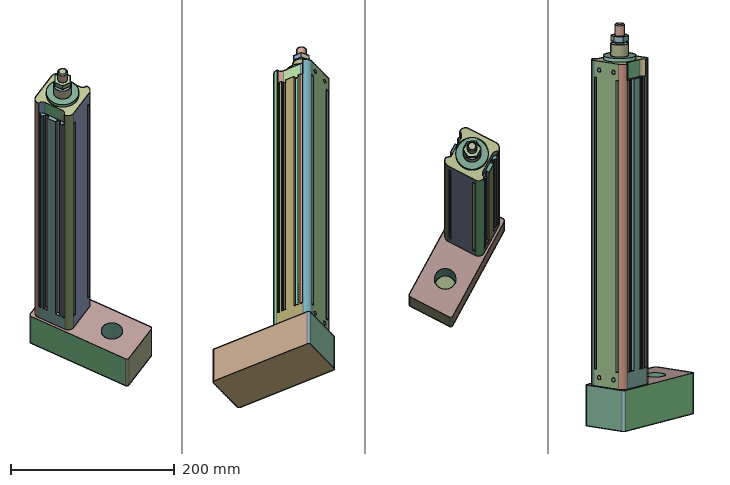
import cadquery as cq


housing_length = 140.0
housing_width = 60.0
housing_height = 51.0
housing_corner_radius = 3.0
axis_to_housing_end = 30.0
bore_diameter = 26.0
bore_spacing = 70.0
bore_depth = 40.0

body_size = 53.5
body_height = 406.0
body_flat_width = 38.0
body_corner_radius = (body_size - body_flat_width) / 2
body_top = housing_height + body_height
half_body = body_size / 2
end_block_height = 21.0
groove_length = body_height - 2 * end_block_height

recess_floor_width = 24.0
recess_depth = 5.0
recess_width = 36.0
recess_wall_depth = 1.0

sensor_groove_inner = 6.0
sensor_groove_floor_end = 10.5
sensor_groove_outer = 12.0
sensor_groove_depth = 3.5
sensor_shelf_depth = 1.8

edge_groove_inner = 14.8
edge_groove_outer = 18.0
edge_groove_depth = 2.5

mount_hole_diameter = 5.0
mount_hole_depth = 8.0
mount_hole_spacing = 22.0
mount_hole_end_distance = 11.0

flange_diameter = 40.0
flange_height = 4.5
rod_diameter = 22.0
rod_height = 15.0
neck_diameter = 10.5
neck_height = 3.0
nut_across_flats = 19.0
nut_height = 7.0
thread_diameter = 12.0
thread_chamfer = 1.5
total_height = 501.0

SIDES = (-1, 1)


def make_housing():
    center_x = housing_length / 2 - axis_to_housing_end
    housing = (
        cq.Workplane("XY")
        .center(center_x, 0)
        .rect(housing_length, housing_width)
        .extrude(housing_height)
        .edges("|Z")
        .fillet(housing_corner_radius)
    )
    bore = (
        cq.Workplane("XY", origin=(bore_spacing, 0, housing_height - bore_depth))
        .circle(bore_diameter / 2)
        .extrude(bore_depth)
    )
    return housing.cut(bore)


def make_body():
    return (
        cq.Workplane("XY", origin=(0, 0, housing_height))
        .rect(body_size, body_size)
        .extrude(body_height)
        .edges("|Z")
        .fillet(body_corner_radius)
    )


def make_recess():
    """Recess cutter for the -Y face: flat floor, concave flanks and short upright walls."""
    half_floor = recess_floor_width / 2
    half_mouth = recess_width / 2
    floor_y = recess_depth - half_body
    wall_y = recess_wall_depth - half_body
    half = (
        cq.Workplane("XY", origin=(0, 0, body_top - end_block_height))
        .moveTo(0, floor_y)
        .lineTo(half_floor, floor_y)
        .tangentArcPoint((half_mouth, wall_y), relative=False)
        .lineTo(half_mouth, -half_body)
        .lineTo(0, -half_body)
        .close()
        .extrude(end_block_height)
    )
    return half.union(half.mirror("YZ"))


def make_groove(points):
    """Groove cutter for the -Y face; each point is (distance from middle, depth)."""
    outline = [(offset, depth - half_body) for offset, depth in points]
    return (
        cq.Workplane("XY", origin=(0, 0, housing_height + end_block_height))
        .polyline(outline)
        .close()
        .extrude(groove_length)
    )


def make_sensor_groove():
    return make_groove(
        [
            (sensor_groove_inner, 0),
            (sensor_groove_inner, sensor_groove_depth),
            (sensor_groove_floor_end, sensor_groove_depth),
            (sensor_groove_floor_end, sensor_shelf_depth),
            (sensor_groove_outer, sensor_shelf_depth),
            (sensor_groove_outer, 0),
        ]
    )


def make_edge_groove():
    return make_groove(
        [
            (edge_groove_inner, 0),
            (edge_groove_outer, edge_groove_depth),
            (edge_groove_outer, 0),
        ]
    )


def make_mount_holes():
    holes_z = (housing_height + mount_hole_end_distance, body_top - mount_hole_end_distance)
    positions = [(side * mount_hole_spacing / 2, z) for side in SIDES for z in holes_z]
    return (
        cq.Workplane("YZ", origin=(-half_body, 0, 0))
        .pushPoints(positions)
        .circle(mount_hole_diameter / 2)
        .extrude(mount_hole_depth)
    )


def make_cylinder(diameter, bottom, height):
    return cq.Workplane("XY", origin=(0, 0, bottom)).circle(diameter / 2).extrude(height)


def make_rod_end():
    rod_bottom = body_top + flange_height
    neck_bottom = rod_bottom + rod_height
    nut_bottom = neck_bottom + neck_height
    nut_top = nut_bottom + nut_height
    nut_across_corners = nut_across_flats * 2 / 3**0.5
    flange = make_cylinder(flange_diameter, body_top, flange_height)
    rod = make_cylinder(rod_diameter, rod_bottom, rod_height)
    neck = make_cylinder(neck_diameter, neck_bottom, neck_height)
    nut = (
        cq.Workplane("XY", origin=(0, 0, nut_bottom))
        .polygon(6, nut_across_corners)
        .extrude(nut_height)
    )
    thread = make_cylinder(thread_diameter, nut_top, total_height - nut_top)
    thread = thread.faces(">Z").chamfer(thread_chamfer)
    return flange.union(rod).union(neck).union(nut).union(thread)


body = make_body()

for turn in (0, 180):
    body = body.cut(make_recess().rotate((0, 0, 0), (0, 0, 1), turn))
    for groove in (make_sensor_groove(), make_sensor_groove().mirror("YZ")):
        body = body.cut(groove.rotate((0, 0, 0), (0, 0, 1), turn))

for turn in (0, 90, 180, 270):
    for groove in (make_edge_groove(), make_edge_groove().mirror("YZ")):
        body = body.cut(groove.rotate((0, 0, 0), (0, 0, 1), turn))

body = body.cut(make_mount_holes())

result = make_housing().union(body).union(make_rod_end())